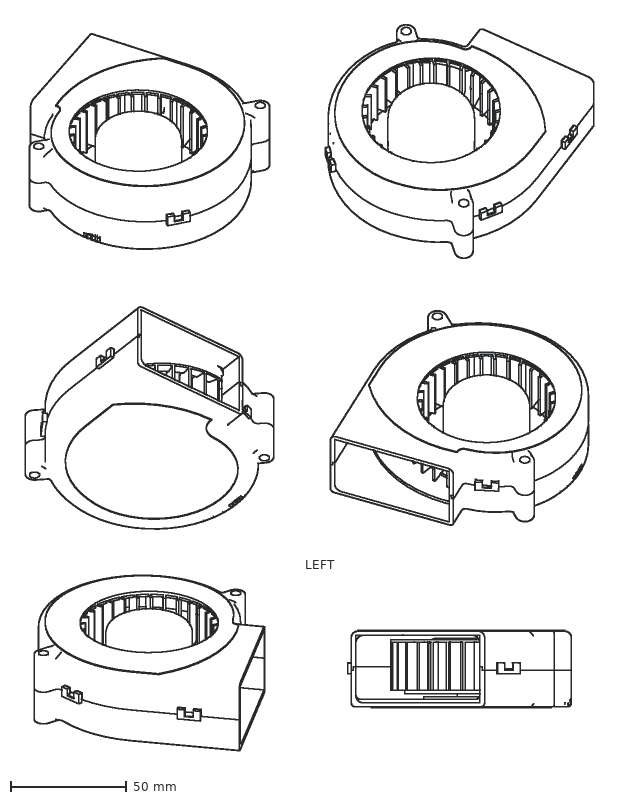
import cadquery as cq
import math


TOTAL_HEIGHT = 33.6
PAD_HEIGHT = 0.4
BODY_BOTTOM = PAD_HEIGHT
BODY_TOP = TOTAL_HEIGHT - PAD_HEIGHT
SPLIT_Z = 16.2
LIP_HEIGHT = 1.5
LIP_TOP = SPLIT_Z + LIP_HEIGHT

MOUTH_X = -50.1
DUCT_TOP_Y = 52.3
DUCT_BOTTOM_Y = -5.6
LOWER_ARC_X, LOWER_ARC_Y, LOWER_ARC_RADIUS = 2.4, 2.1, 45.3
UPPER_ARC_X = -2.0
ARC_JOINT_Y = 12.7
ARC_JOINT_X = LOWER_ARC_X + math.sqrt(LOWER_ARC_RADIUS**2 - (ARC_JOINT_Y - LOWER_ARC_Y) ** 2)
JOINT_DROP = DUCT_TOP_Y - ARC_JOINT_Y
UPPER_ARC_RADIUS = ((ARC_JOINT_X - UPPER_ARC_X) ** 2 + JOINT_DROP**2) / (2 * JOINT_DROP)
UPPER_ARC_Y = DUCT_TOP_Y - UPPER_ARC_RADIUS
TAIL_X = -17.6
TAIL_Y = LOWER_ARC_Y - math.sqrt(LOWER_ARC_RADIUS**2 - (TAIL_X - LOWER_ARC_X) ** 2)
THROAT_X = -38.7
BACK_MIDDLE = (-32.4, 29.9)
BACK_END_X, BACK_END_Y = -14.0, 49.3
THROAT_RADIUS = 1.5

WALL = 2.1
TOP_EDGE_RADIUS = 2.9
BOTTOM_EDGE_RADIUS = 1.9
TOP_PAD_INSET = TOP_EDGE_RADIUS
BOTTOM_PAD_INSET = 8.8
SKIN = 1.8
SCROLL_FLOOR_Z = 3.6
FLOOR_RADIUS = 2.2
CEILING_RADIUS = 3.4
DUCT_CORNER_RADIUS = 3.2
INLET_RADIUS = 29.9
INLET_EDGE_RADIUS = 2.0

EAR_CENTRES = [(38.9, 39.4), (-32.1, -31.6)]
EAR_RADIUS = 4.1
EAR_HOLE_RADIUS = 2.2
EAR_ARM_LENGTH = 11.7
EAR_EDGE_RADIUS = 0.8
EAR_NECK_RADIUS = 2.4

CLIP_WIDTH = 10.3
CLIP_DEPTH = 1.6
CLIP_ROOT = 0.4
CLIP_BOTTOM = 14.8
CLIP_TOP = 19.5
CLIP_NOTCH_WIDTH = 3.9
DUCT_CLIP_X = -28.1
UPPER_CLIP_ANGLE = 57.0
LOWER_CLIP_ANGLE = -44.0
TAIL_CLIP_X, TAIL_CLIP_Y, TAIL_CLIP_ANGLE = -36.5, -15.6, 198.6
CATCH_WIDTH = 3.5
CATCH_DEPTH = 1.0

SLOT_COUNT = 4
SLOT_WIDTH = 1.4
SLOT_PITCH = 2.3
SLOT_DEPTH = 2.9
SLOT_ROOF_Z = 2.25

BASE_RADIUS = 20.9
BASE_TOP_Z = 4.7
POST_RADIUS = 6.4

PLATE_BOTTOM_Z = 6.2
PLATE_TOP_Z = 7.5
PLATE_RADIUS = 29.1
HUB_RADIUS = 18.8
HUB_TOP_Z = 30.1
HUB_EDGE_RADIUS = 3.3
BLADE_COUNT = 30
BLADE_THICKNESS = 1.1
BLADE_INNER_RADIUS = 27.9
BLADE_INNER_ANGLE = 87.2
IMPELLER_RADIUS = 35.2
BLADE_OUTER_ANGLE = 90.6
RING_INNER_RADIUS = 30.8
RING_BOTTOM_Z = 28.5
RING_TOP_Z = 29.5


def polar(radius, angle):
    """The point at a radius and an angle in degrees around the impeller axis."""
    return radius * math.cos(math.radians(angle)), radius * math.sin(math.radians(angle))


def scroll_path(start):
    """Draw the scroll from a start on the straight top edge, clockwise round to the throat."""
    joint_up = math.atan2(ARC_JOINT_Y - UPPER_ARC_Y, ARC_JOINT_X - UPPER_ARC_X)
    upper_angle = math.degrees((joint_up + math.pi / 2) / 2)
    upper_dx, upper_dy = polar(UPPER_ARC_RADIUS, upper_angle)
    lower_dx, lower_dy = polar(LOWER_ARC_RADIUS, -45)
    return (
        cq.Workplane("XY").moveTo(*start).lineTo(UPPER_ARC_X, DUCT_TOP_Y)
        .threePointArc((UPPER_ARC_X + upper_dx, UPPER_ARC_Y + upper_dy), (ARC_JOINT_X, ARC_JOINT_Y))
        .threePointArc((LOWER_ARC_X + lower_dx, LOWER_ARC_Y + lower_dy), (TAIL_X, TAIL_Y))
        .tangentArcPoint((THROAT_X, DUCT_BOTTOM_Y), relative=False)
    )


def housing_outline(inset=0):
    """The scroll and duct outline. An inset leaves the mouth plane where it is."""
    mouth_x = MOUTH_X - inset
    outline = (
        scroll_path((mouth_x, DUCT_TOP_Y))
        .lineTo(mouth_x, DUCT_BOTTOM_Y).close()
    )
    return outline.offset2D(-inset) if inset else outline


def scroll_outline():
    """The scroll alone, closed by the arc that parts it from the duct."""
    return (
        scroll_path((BACK_END_X, DUCT_TOP_Y))
        .threePointArc(BACK_MIDDLE, (BACK_END_X, BACK_END_Y)).close()
    )


def prism(outline, bottom, top):
    return outline.extrude(top - bottom).translate((0, 0, bottom))


def disc(radius, bottom, top):
    return prism(cq.Workplane("XY").circle(radius), bottom, top)


def at_ears(shape):
    """Copies of a shape, one at each ear, turned so that its +X side points outwards."""
    return [
        shape.rotate((0, 0, 0), (0, 0, 1), math.degrees(math.atan2(y, x))).translate((x, y, 0))
        for x, y in EAR_CENTRES
    ]


def pad(inset, bottom, top):
    """A flat pad over the scroll, set in from the outer wall."""
    return prism(housing_outline(inset), bottom, top).intersect(prism(scroll_outline(), bottom, top))


def near_ear_neck(edge):
    """True for an upright edge where the side of an ear meets the scroll wall."""
    middle = edge.Center()
    gaps = [math.hypot(middle.x - x, middle.y - y) for x, y in EAR_CENTRES]
    return EAR_RADIUS + EAR_EDGE_RADIUS < min(gaps) < EAR_ARM_LENGTH


def ear():
    """A full-height ear on the Z axis, with an arm that runs inwards along -X."""
    arm = cq.Workplane("XY").center(-EAR_ARM_LENGTH / 2, 0).rect(EAR_ARM_LENGTH, 2 * EAR_RADIUS)
    return prism(arm, BODY_BOTTOM, BODY_TOP).union(disc(EAR_RADIUS, BODY_BOTTOM, BODY_TOP))


def housing_body():
    """The solid outer form of both shells together."""
    body = prism(housing_outline(), BODY_BOTTOM, BODY_TOP)
    throat = cq.selectors.NearestToPointSelector((THROAT_X, DUCT_BOTTOM_Y, SPLIT_Z))
    body = body.edges("|Z").edges(throat).fillet(THROAT_RADIUS)
    for piece in at_ears(ear()):
        body = body.union(piece)
    necks = [edge for edge in body.edges("|Z").vals() if near_ear_neck(edge)]
    body = body.newObject(necks).fillet(EAR_NECK_RADIUS)
    body = body.faces(">Z").edges("not <X").fillet(TOP_EDGE_RADIUS)
    body = body.faces("<Z").edges("not <X").fillet(BOTTOM_EDGE_RADIUS)
    crisp_ear = ear().faces("<Z or >Z").edges("not <X").fillet(EAR_EDGE_RADIUS)
    for piece in at_ears(crisp_ear):
        body = body.union(piece)
    body = body.union(pad(TOP_PAD_INSET, SPLIT_Z, TOTAL_HEIGHT))
    return body.union(pad(BOTTOM_PAD_INSET, 0, SPLIT_Z))


def cavity():
    """The air space: a shallow scroll space joined to a deeper duct space."""
    scroll = prism(housing_outline(WALL), SCROLL_FLOOR_Z, BODY_TOP - SKIN)
    scroll = scroll.faces("<Z").edges("not <X").fillet(FLOOR_RADIUS)
    scroll = scroll.faces(">Z").edges("not <X").fillet(CEILING_RADIUS)
    duct = prism(housing_outline(WALL), BODY_BOTTOM + SKIN, BODY_TOP - SKIN)
    duct = duct.cut(prism(scroll_outline(), 0, TOTAL_HEIGHT))
    duct = duct.faces("<Z").edges(">Y").fillet(DUCT_CORNER_RADIUS)
    return scroll.union(duct)


def inlet():
    """The round intake opening with its flared edge."""
    flare = (
        cq.Workplane("XZ").moveTo(0, SPLIT_Z).lineTo(INLET_RADIUS, SPLIT_Z)
        .lineTo(INLET_RADIUS, TOTAL_HEIGHT - INLET_EDGE_RADIUS)
        .radiusArc((INLET_RADIUS + INLET_EDGE_RADIUS, TOTAL_HEIGHT), INLET_EDGE_RADIUS)
        .lineTo(0, TOTAL_HEIGHT).close()
    )
    return flare.revolve(360, (0, 0, 0), (0, 1, 0))


def wire_slots():
    """Slots in the lower edge of the scroll, each under a rounded roof."""
    outer_y = LOWER_ARC_Y - LOWER_ARC_RADIUS
    back_y = outer_y + SLOT_DEPTH
    section = (
        cq.Workplane("YZ").moveTo(outer_y, 0).lineTo(back_y, 0).lineTo(back_y, SLOT_ROOF_Z)
        .radiusArc((outer_y, SLOT_ROOF_Z + SLOT_DEPTH), SLOT_DEPTH)
        .close().extrude(SLOT_WIDTH / 2, both=True)
    )
    slots = cq.Workplane("XY")
    for index in range(SLOT_COUNT):
        slots = slots.add(section.translate(((index - (SLOT_COUNT - 1) / 2) * SLOT_PITCH, 0, 0)))
    return slots.combine()


def clip():
    """A U-shaped clip on a wall that faces +X at x = 0."""
    length = CLIP_ROOT + CLIP_DEPTH
    middle_x = (CLIP_DEPTH - CLIP_ROOT) / 2
    plate = prism(cq.Workplane("XY").center(middle_x, 0).rect(length, CLIP_WIDTH), CLIP_BOTTOM, CLIP_TOP)
    notch = prism(cq.Workplane("XY").center(middle_x, 0).rect(length, CLIP_NOTCH_WIDTH), SPLIT_Z, CLIP_TOP)
    return plate.cut(notch)


def catch():
    """The wedge that snaps into the notch of a clip."""
    return (
        cq.Workplane("XZ").moveTo(-CLIP_ROOT, SPLIT_Z).lineTo(CATCH_DEPTH, SPLIT_Z)
        .lineTo(0, LIP_TOP).lineTo(-CLIP_ROOT, LIP_TOP).close()
        .extrude(CATCH_WIDTH / 2, both=True)
    )


def at_clip_places(shape):
    """Copies of a clip feature, moved to the four clip places around the wall."""
    upper_dx, upper_dy = polar(UPPER_ARC_RADIUS, UPPER_CLIP_ANGLE)
    lower_dx, lower_dy = polar(LOWER_ARC_RADIUS, LOWER_CLIP_ANGLE)
    places = [
        (DUCT_CLIP_X, DUCT_TOP_Y, 90),
        (UPPER_ARC_X + upper_dx, UPPER_ARC_Y + upper_dy, UPPER_CLIP_ANGLE),
        (LOWER_ARC_X + lower_dx, LOWER_ARC_Y + lower_dy, LOWER_CLIP_ANGLE),
        (TAIL_CLIP_X, TAIL_CLIP_Y, TAIL_CLIP_ANGLE),
    ]
    return [shape.rotate((0, 0, 0), (0, 0, 1), angle).translate((x, y, 0)) for x, y, angle in places]


def housing_shell():
    """Both shells as one hollow form."""
    shell = housing_body().cut(cavity()).cut(inlet()).cut(wire_slots())
    for hole in at_ears(disc(EAR_HOLE_RADIUS, 0, TOTAL_HEIGHT)):
        shell = shell.cut(hole)
    return shell


def lower_zone():
    """The space below the joint, with the step that forms the lip."""
    reach = 4 * LOWER_ARC_RADIUS
    below = prism(cq.Workplane("XY").rect(reach, reach), 0, SPLIT_Z)
    return below.union(prism(housing_outline(WALL / 2), 0, LIP_TOP))


def lower_shell(shell):
    body = shell.intersect(lower_zone())
    body = body.union(disc(BASE_RADIUS, SCROLL_FLOOR_Z, BASE_TOP_Z))
    body = body.union(disc(POST_RADIUS, SCROLL_FLOOR_Z, PLATE_BOTTOM_Z))
    for piece in at_clip_places(clip()):
        body = body.union(piece)
    return body


def upper_shell(shell):
    body = shell.cut(lower_zone())
    for piece in at_clip_places(clip()):
        body = body.cut(piece)
    for piece in at_clip_places(catch()):
        body = body.union(piece)
    return body


def blade():
    """One straight blade, leaning back from the radial direction."""
    inner = cq.Vector(*polar(BLADE_INNER_RADIUS, BLADE_INNER_ANGLE))
    along = cq.Vector(*polar(IMPELLER_RADIUS, BLADE_OUTER_ANGLE)) - inner
    lean = math.degrees(math.atan2(along.y, along.x))
    length = along.Length + BLADE_THICKNESS
    strip = cq.Workplane("XY").center(length / 2, 0).rect(length, BLADE_THICKNESS)
    return prism(strip, PLATE_TOP_Z, RING_TOP_Z).rotate((0, 0, 0), (0, 0, 1), lean).translate(inner)


def impeller_body():
    """Hub and back plate below, blades, and the ring that ties the blade tops together."""
    body = disc(HUB_RADIUS, PLATE_BOTTOM_Z, HUB_TOP_Z).faces(">Z").edges().fillet(HUB_EDGE_RADIUS)
    body = body.union(disc(PLATE_RADIUS, PLATE_BOTTOM_Z, PLATE_TOP_Z))
    ring = disc(IMPELLER_RADIUS + BLADE_THICKNESS, RING_BOTTOM_Z, RING_TOP_Z)
    body = body.union(ring.cut(disc(RING_INNER_RADIUS, RING_BOTTOM_Z, RING_TOP_Z)))
    first_blade = blade()
    for index in range(BLADE_COUNT):
        body = body.union(first_blade.rotate((0, 0, 0), (0, 0, 1), index * 360 / BLADE_COUNT))
    return body.intersect(disc(IMPELLER_RADIUS, PLATE_BOTTOM_Z, HUB_TOP_Z))


shell = housing_shell()
lower_housing = lower_shell(shell)
upper_housing = upper_shell(shell)
impeller = impeller_body()

result = cq.Compound.makeCompound([lower_housing.val(), upper_housing.val(), impeller.val()])